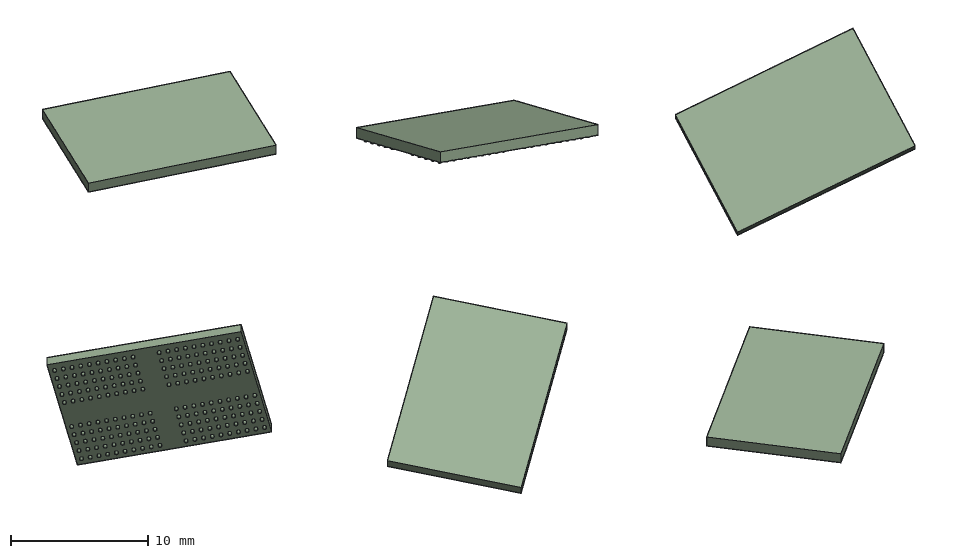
import cadquery as cq

body_width = 10.0
body_length = 14.5
total_height = 1.02
ball_drop = 0.22
body_height = total_height - ball_drop

ball_radius = 0.15
ball_center_z = ball_radius - ball_drop

grid_span_x = 8.8
grid_span_y = 13.66
grid_shift_y = -0.025
grid_columns = 12
grid_rows = 22
aisle_columns = 2
aisle_rows = 2


def grid_positions(span, count, aisle_count):
    """Return centred, evenly spaced positions, leaving out the middle ones."""
    pitch = span / (count - 1)
    aisle_start = (count - aisle_count) // 2
    aisle = range(aisle_start, aisle_start + aisle_count)
    return [i * pitch - span / 2 for i in range(count) if i not in aisle]


def make_body():
    """Slab centred in X and Y, standing on Z = 0."""
    return cq.Workplane("XY").box(
        body_width, body_length, body_height, centered=(True, True, False)
    )


def make_balls():
    """All solder balls, one at each occupied grid position."""
    centers = [
        (x, y + grid_shift_y)
        for x in grid_positions(grid_span_x, grid_columns, aisle_columns)
        for y in grid_positions(grid_span_y, grid_rows, aisle_rows)
    ]
    return (
        cq.Workplane("XY", origin=(0, 0, ball_center_z))
        .pushPoints(centers)
        .sphere(ball_radius, combine=False)
    )


result = make_body().union(make_balls())